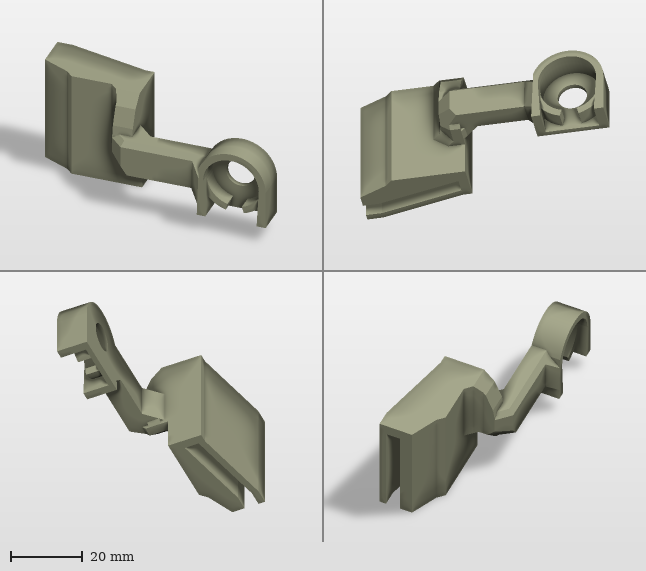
import cadquery as cq
import math

LENGTH = 73.35
DEPTH = 30.65
HEIGHT = 32.0
REACH = 146.7

BLOCK_RIGHT = 31.0
BLOCK_FRONT = 14.95
BLOCK_END_BACK = 25.1
TAPER_START = 4.55
TAPER_END = 28.3
SLOT_SKIN = 2.0
SLOT_WIDTH = 4.25
SLOT_TOP = 28.7

SHOULDER_LEFT = 25.1
SHOULDER_FRONT = 7.0
SHOULDER_BOTTOM = 9.7
SHOULDER_ROOT = 21.9
SHOULDER_SIDE_BACK = 10.55
CORNER_SLOPE_TOP = 12.75
LEFT_SLOPE_TOP = 12.7
ELBOW_TOP = 14.95
UNDERSIDE_SLOPE = 1.4

ARM_FRONT = 3.1
ARM_BACK = 9.1
ARM_BOTTOM = 10.8
ARM_TOP = 21.1
ARM_BEVEL = 1.5
BRACE_BACK = 13.8

RING_RADIUS = 10.35
RING_X = LENGTH - RING_RADIUS
RING_Z = 15.9
RING_BOTTOM = 4.4
RING_FOOT_LEFT = 52.8
LEFT_WALL_TOP = 19.8
LEFT_WALL_LEAN = 0.6
CAVITY_RADIUS = 8.3
CAVITY_FOOT_LEFT = 55.4
CAVITY_FOOT_RIGHT = 70.6
FLOOR_THICKNESS = 1.5
HOLE_RADIUS = 4.2
CLIP_FRONT = 3.0
CLIP_HALF_GAP = 15.0
FLARE_BOTTOM = 8.0


def prism_z(points, bottom, top):
    """Upright prism over an XY outline."""
    return cq.Workplane("XY").workplane(offset=bottom).polyline(points).close().extrude(top - bottom)


def prism_y(points, front, back):
    """Prism over an XZ outline, running in Y."""
    return cq.Workplane("XZ", origin=(0, front, 0)).polyline(points).close().extrude(front - back)


def space_behind(point, normal):
    """Large solid behind a plane through a point; the normal points away from it."""
    plane = cq.Plane(origin=point, normal=normal)
    return cq.Workplane(plane).rect(REACH, REACH).extrude(-REACH)


def make_block():
    outline = [
        (0, 20.7),
        (8.0, 16.95),
        (10.0, BLOCK_FRONT),
        (BLOCK_RIGHT, BLOCK_FRONT),
        (BLOCK_RIGHT, BLOCK_END_BACK),
        (TAPER_END, BLOCK_END_BACK),
        (TAPER_START, DEPTH),
        (0, DEPTH),
    ]
    block = prism_z(outline, 0, HEIGHT)
    slot_back = DEPTH - SLOT_SKIN
    slot_end_back = BLOCK_END_BACK - SLOT_SKIN
    slot_outline = [
        (0, slot_back),
        (TAPER_START, slot_back),
        (TAPER_END, slot_end_back),
        (TAPER_END, slot_end_back - SLOT_WIDTH),
        (TAPER_START, slot_back - SLOT_WIDTH),
        (0, slot_back - SLOT_WIDTH),
    ]
    return block.cut(prism_z(slot_outline, 0, SLOT_TOP))


def make_shoulder():
    plan = [
        (SHOULDER_ROOT, BLOCK_FRONT),
        (24.0, 13.0),
        (SHOULDER_LEFT, SHOULDER_SIDE_BACK),
        (SHOULDER_LEFT, SHOULDER_FRONT),
        (BLOCK_RIGHT, SHOULDER_FRONT),
        (BLOCK_RIGHT, BLOCK_FRONT),
    ]
    profile = [
        (BLOCK_FRONT, SHOULDER_BOTTOM),
        (8.0, SHOULDER_BOTTOM),
        (SHOULDER_FRONT, ARM_BOTTOM),
        (SHOULDER_FRONT, 20.45),
        (7.5, 23.4),
        (9.7, 28.6),
        (13.0, HEIGHT),
        (BLOCK_FRONT, HEIGHT),
    ]
    side = cq.Workplane("YZ").polyline(profile).close().extrude(BLOCK_RIGHT)
    shoulder = prism_z(plan, 0, HEIGHT).intersect(side)
    corner_cut = space_behind((SHOULDER_ROOT, BLOCK_FRONT, CORNER_SLOPE_TOP), (1, 1, UNDERSIDE_SLOPE))
    left_cut = space_behind((SHOULDER_LEFT, SHOULDER_SIDE_BACK, LEFT_SLOPE_TOP), (1, 0, 1))
    return shoulder.cut(corner_cut.intersect(left_cut))


def make_arm():
    diagonal_end = SHOULDER_LEFT + SHOULDER_FRONT - ARM_FRONT
    brace_end = BLOCK_RIGHT + BRACE_BACK - ARM_BACK
    plan = [
        (SHOULDER_LEFT, SHOULDER_FRONT),
        (diagonal_end, ARM_FRONT),
        (RING_X, ARM_FRONT),
        (RING_X, ARM_BACK),
        (brace_end, ARM_BACK),
        (BLOCK_RIGHT, BRACE_BACK),
        (SHOULDER_LEFT, BRACE_BACK),
    ]
    arm = prism_z(plan, ARM_BOTTOM, ARM_TOP)
    front_edge = cq.selectors.NearestToPointSelector(((diagonal_end + RING_X) / 2, ARM_FRONT, ARM_TOP))
    middle = ((SHOULDER_LEFT + diagonal_end) / 2, (SHOULDER_FRONT + ARM_FRONT) / 2, ARM_TOP)
    diagonal_edge = cq.selectors.NearestToPointSelector(middle)
    arm = arm.edges(cq.selectors.SumSelector(front_edge, diagonal_edge)).chamfer(ARM_BEVEL)
    arm = arm.cut(space_behind((SHOULDER_LEFT, SHOULDER_SIDE_BACK, LEFT_SLOPE_TOP), (1, 0, 1)))
    rise = ARM_BOTTOM - SHOULDER_BOTTOM
    wedge = [
        (BLOCK_RIGHT, SHOULDER_BOTTOM),
        (BLOCK_RIGHT + rise, ARM_BOTTOM),
        (BLOCK_RIGHT, ARM_BOTTOM),
    ]
    return arm.union(prism_y(wedge, ARM_BACK, BRACE_BACK - rise))


def make_flare():
    """Gusset spreading the arm forward and down to the ring's left wall."""
    lean = LEFT_WALL_LEAN / (LEFT_WALL_TOP - RING_BOTTOM)
    drop = ARM_BOTTOM - FLARE_BOTTOM
    foot = RING_FOOT_LEFT + lean * (FLARE_BOTTOM - RING_BOTTOM)
    profile = [
        (foot - drop, ARM_BOTTOM),
        (foot, FLARE_BOTTOM),
        (RING_X, FLARE_BOTTOM),
        (RING_X, ARM_TOP),
        (foot - drop, ARM_TOP),
    ]
    flare = prism_y(profile, 0, ARM_BACK)
    front_cut = space_behind((foot, 0, FLARE_BOTTOM), (1, 1, -lean))
    bevel_cut = space_behind((foot, ARM_FRONT, ARM_TOP - ARM_BEVEL), (0, 1, -1))
    return flare.cut(front_cut).cut(bevel_cut)


def make_ring_body():
    left_top = RING_X - math.sqrt(RING_RADIUS**2 - (LEFT_WALL_TOP - RING_Z) ** 2)
    return (
        cq.Workplane("XZ")
        .moveTo(RING_FOOT_LEFT, RING_BOTTOM)
        .lineTo(left_top, LEFT_WALL_TOP)
        .threePointArc((RING_X, RING_Z + RING_RADIUS), (LENGTH, RING_Z))
        .lineTo(LENGTH, RING_BOTTOM)
        .close()
        .extrude(-ARM_BACK)
    )


def make_cavity():
    return (
        cq.Workplane("XZ")
        .moveTo(CAVITY_FOOT_LEFT, RING_BOTTOM)
        .lineTo(RING_X - CAVITY_RADIUS, RING_Z)
        .threePointArc((RING_X, RING_Z + CAVITY_RADIUS), (RING_X + CAVITY_RADIUS, RING_Z))
        .lineTo(CAVITY_FOOT_RIGHT, RING_BOTTOM)
        .close()
        .extrude(FLOOR_THICKNESS - ARM_BACK)
    )


def make_clip():
    """Lower half of an annulus with a gap at the bottom."""
    back = ARM_BACK - FLOOR_THICKNESS / 2
    centre = cq.Workplane("XZ", origin=(RING_X, CLIP_FRONT, RING_Z))
    clip = centre.circle(RING_RADIUS).circle(CAVITY_RADIUS).extrude(CLIP_FRONT - back)
    half_gap = RING_Z * math.tan(math.radians(CLIP_HALF_GAP))
    gap = [(RING_X, RING_Z), (RING_X - half_gap, 0), (RING_X + half_gap, 0)]
    return clip.cut(prism_y(gap, 0, ARM_BACK)).intersect(make_ring_body())


hole = cq.Workplane("XZ", origin=(RING_X, 0, RING_Z)).circle(HOLE_RADIUS).extrude(-ARM_BACK)
elbow_cut = space_behind((SHOULDER_LEFT, SHOULDER_FRONT, ELBOW_TOP), (UNDERSIDE_SLOPE, 1, 1))

link = make_shoulder().union(make_arm()).cut(elbow_cut)
link = link.union(make_flare()).union(make_ring_body())
link = link.cut(make_cavity()).union(make_clip()).cut(hole)
result = make_block().union(link)